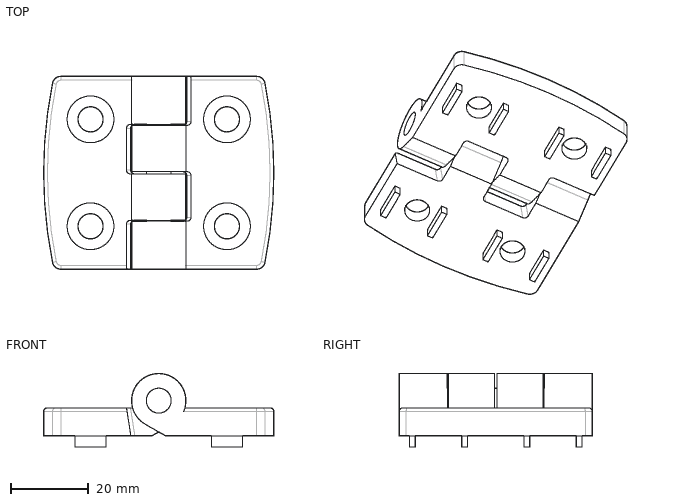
import cadquery as cq
import math

length_x = 59.4
width_y = 49.8
half_length = length_x / 2
half_width = width_y / 2

plate_thickness = 7.25
corner_x = 27.05
corner_radius = 2.25
top_edge_radius = 1.0

knuckle_radius = 7.0
axis_height = 9.1
web_angle = math.radians(30)
web_tangent_x = knuckle_radius * math.sin(web_angle)
web_tangent_z = axis_height - knuckle_radius * math.cos(web_angle)
web_foot_x = web_tangent_x - web_tangent_z / math.tan(web_angle)
pin_radius = 3.2
half_gap = 0.3
knuckle_split_outer = 12.5
knuckle_split_inner = 12.25

pocket_reach_top = 8.3
pocket_reach_bottom = 7.2
pocket_corner_radius = 1.0

hole_x = 17.6
hole_y = 13.8
hole_diameter = 6.4
sink_diameter = 12.05

tab_length = 8.1
tab_thickness = 1.55
tab_height = 2.9
tab_y_inner = 8.0
tab_y_outer = 21.5


def extrude_along_y(profile, y_start, y_end):
    """Extrude a closed XZ profile from y_start up to y_end."""
    return profile.extrude(y_start - y_end).translate((0, y_start, 0))


def plate():
    """Plate on the -X side with a bowed outer side, reaching under the knuckles."""
    body = (
        cq.Workplane("XY")
        .moveTo(web_tangent_x, -half_width)
        .lineTo(-corner_x, -half_width)
        .threePointArc((-half_length, 0), (-corner_x, half_width))
        .lineTo(web_tangent_x, half_width)
        .close()
        .extrude(plate_thickness)
    )
    body = body.edges("|Z and (not >X)").fillet(corner_radius)
    return body.faces(">Z").edges("not >X").fillet(top_edge_radius)


def web_region():
    """Full-width space on the leaf's side of the flat that runs tangent to the knuckle."""
    profile = cq.Workplane("XZ").polyline([
        (-length_x, 0),
        (web_foot_x, 0),
        (web_tangent_x, web_tangent_z),
        (0, axis_height),
        (-length_x, axis_height),
    ]).close()
    return extrude_along_y(profile, -half_width, half_width)


def knuckle(y_start, y_end):
    profile = cq.Workplane("XZ").center(0, axis_height).circle(knuckle_radius)
    return extrude_along_y(profile, y_start, y_end)


def pocket(y_start, y_end, rounded_side):
    """Clearance from above the knuckles to the underside, with a sloping wall and rounded wall corners."""
    top = axis_height + knuckle_radius
    slope = (pocket_reach_top - pocket_reach_bottom) / plate_thickness
    top_reach = pocket_reach_bottom + slope * top
    profile = cq.Workplane("XZ").polyline([
        (-pocket_reach_bottom, 0),
        (half_length, 0),
        (half_length, top),
        (-top_reach, top),
    ]).close()
    body = extrude_along_y(profile, y_start, y_end)
    return body.faces("<X").edges(rounded_side).fillet(pocket_corner_radius)


def screw_holes():
    """Countersunk hole shapes through the plate, widest at the plate top."""
    sink_depth = (sink_diameter - hole_diameter) / 2
    profile = cq.Workplane("XZ").polyline([
        (0, 0),
        (hole_diameter / 2, 0),
        (hole_diameter / 2, plate_thickness - sink_depth),
        (sink_diameter / 2, plate_thickness),
        (0, plate_thickness),
    ]).close()
    hole = profile.revolve(360, (0, 0, 0), (0, 1, 0))
    return [hole.translate((-hole_x, y, 0)) for y in (-hole_y, hole_y)]


def tabs():
    places = [(-hole_x, y) for y in (-tab_y_outer, -tab_y_inner, tab_y_inner, tab_y_outer)]
    return cq.Workplane("XY").pushPoints(places).rect(tab_length, tab_thickness).extrude(-tab_height)


def pin():
    profile = cq.Workplane("XZ").center(0, axis_height).circle(pin_radius)
    return extrude_along_y(profile, -half_width, half_width)


def leaf():
    """Leaf on the -X side: it owns the rear outer knuckle and the front inner knuckle."""
    body = plate().intersect(web_region())
    for hole in screw_holes():
        body = body.cut(hole)
    body = body.union(knuckle(-knuckle_split_inner, -half_gap))
    body = body.union(knuckle(knuckle_split_outer, half_width))
    body = body.cut(pocket(-half_gap, knuckle_split_outer, "<Y or >Y"))
    body = body.cut(pocket(-half_width, -knuckle_split_inner, ">Y"))
    return body.union(tabs()).cut(pin()).solids()


left_leaf = leaf()
right_leaf = left_leaf.rotate((0, 0, 0), (0, 0, 1), 180)
hinge_pin = pin()

result = cq.Compound.makeCompound([left_leaf.val(), right_leaf.val(), hinge_pin.val()])